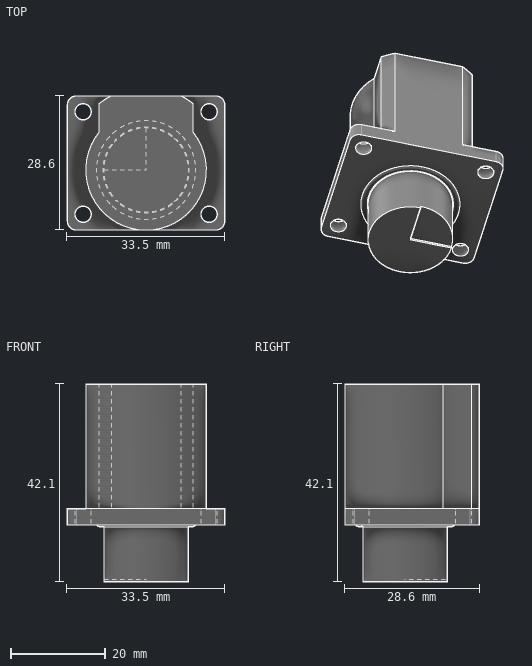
import cadquery as cq
import math


PLATE_WIDTH = 33.55
PLATE_DEPTH = 28.6
PLATE_THICKNESS = 3.5
PLATE_CORNER_RADIUS = 2.0
HOLE_DIAMETER = 3.4
HOLE_SPACING_X = 26.8
HOLE_SPACING_Y = 21.8

TOTAL_HEIGHT = 42.07
BODY_HEIGHT = 26.5
BODY_RADIUS = 12.82
BLOCK_WIDTH = 20.0
BLOCK_CORNER_RADIUS = 16.1

RING_SECTION_RADIUS = 0.85
RING_PROTRUSION = 0.35
SPIGOT_DIAMETER = 18.0
SPIGOT_LENGTH = TOTAL_HEIGHT - BODY_HEIGHT - PLATE_THICKNESS
END_STEP_HEIGHT = 0.5

PLATE_FRONT_Y = -BODY_RADIUS
PLATE_REAR_Y = PLATE_FRONT_Y + PLATE_DEPTH
PLATE_CENTER_Y = (PLATE_FRONT_Y + PLATE_REAR_Y) / 2


def make_plate():
    """Rounded rectangular plate with a through hole near each corner."""
    plate = (
        cq.Workplane("XY")
        .center(0, PLATE_CENTER_Y)
        .rect(PLATE_WIDTH, PLATE_DEPTH)
        .extrude(PLATE_THICKNESS)
        .edges("|Z")
        .fillet(PLATE_CORNER_RADIUS)
    )
    holes = (
        cq.Workplane("XY")
        .center(0, PLATE_CENTER_Y)
        .rect(HOLE_SPACING_X, HOLE_SPACING_Y, forConstruction=True)
        .vertices()
        .circle(HOLE_DIAMETER / 2)
        .extrude(PLATE_THICKNESS)
    )
    return plate.cut(holes)


def make_body():
    """Keyhole-shaped column, flush with the rear edge of the plate."""
    half_width = BLOCK_WIDTH / 2
    side_start_y = math.sqrt(BODY_RADIUS**2 - half_width**2)
    corner_rise = math.sqrt(BLOCK_CORNER_RADIUS**2 - half_width**2)
    side_end_y = PLATE_CENTER_Y + corner_rise
    rear_rise = PLATE_DEPTH / 2
    rear_half_width = math.sqrt(BLOCK_CORNER_RADIUS**2 - rear_rise**2)

    corner_angle = (math.atan2(corner_rise, half_width) + math.atan2(rear_rise, rear_half_width)) / 2
    corner_x = BLOCK_CORNER_RADIUS * math.cos(corner_angle)
    corner_y = PLATE_CENTER_Y + BLOCK_CORNER_RADIUS * math.sin(corner_angle)

    return (
        cq.Workplane("XY")
        .workplane(offset=PLATE_THICKNESS)
        .moveTo(-half_width, side_start_y)
        .threePointArc((0, -BODY_RADIUS), (half_width, side_start_y))
        .lineTo(half_width, side_end_y)
        .threePointArc((corner_x, corner_y), (rear_half_width, PLATE_REAR_Y))
        .lineTo(-rear_half_width, PLATE_REAR_Y)
        .threePointArc((-corner_x, corner_y), (-half_width, side_end_y))
        .close()
        .extrude(BODY_HEIGHT)
    )


def make_sealing_ring():
    """Round-section ring touching the spigot diameter and partly sunk into the plate."""
    center_radius = SPIGOT_DIAMETER / 2 + RING_SECTION_RADIUS
    center_z = RING_SECTION_RADIUS - RING_PROTRUSION
    return (
        cq.Workplane("XZ")
        .center(center_radius, center_z)
        .circle(RING_SECTION_RADIUS)
        .revolve(360, (-center_radius, 0), (-center_radius, 1))
    )


def make_spigot():
    """Round spigot whose end is stepped back over the -X, +Y quarter."""
    radius = SPIGOT_DIAMETER / 2
    spigot = cq.Workplane("XY").circle(radius).extrude(-SPIGOT_LENGTH)
    end_step = (
        cq.Workplane("XY")
        .workplane(offset=-SPIGOT_LENGTH)
        .center(-radius / 2, radius / 2)
        .rect(radius, radius)
        .extrude(END_STEP_HEIGHT)
    )
    return spigot.cut(end_step)


result = make_plate().union(make_body()).union(make_sealing_ring()).union(make_spigot())